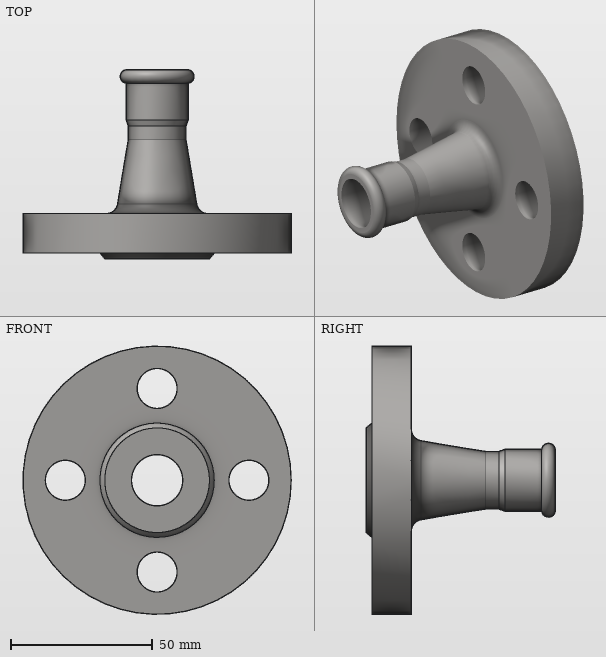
import cadquery as cq
import math

flange_radius = 47.5
flange_thickness = 14.1

face_height = 2.0
face_base_radius = 20.2
face_front_radius = 18.5

bore_radius = 9.0
bolt_hole_count = 4
bolt_hole_diameter = 14.1
bolt_circle_radius = 32.5

root_flare_length = 3.3
neck_base_radius = 14.1
neck_end_radius = 10.3
neck_length = 22.8

collar_length = 4.8
step_length = 2.2
socket_radius = 11.0
bead_radius = 13.1
bead_end_inset = 2.3
bead_width = 4.8
total_length = 67.0

flange_front = face_height
flange_back = flange_front + flange_thickness
neck_start = flange_back + root_flare_length
neck_end = neck_start + neck_length
collar_end = neck_end + collar_length
socket_start = collar_end + step_length
bead_start = total_length - bead_width
bead_middle = total_length - bead_width / 2

taper_angle = math.atan((neck_base_radius - neck_end_radius) / neck_length)
root_fillet_radius = root_flare_length / (1 - math.sin(taper_angle))
root_radius = neck_base_radius + root_fillet_radius * math.cos(taper_angle)
fillet_centre_station = flange_back + root_fillet_radius
fillet_middle_angle = (math.pi / 2 + taper_angle) / 2
fillet_middle = (
    root_radius - root_fillet_radius * math.cos(fillet_middle_angle),
    fillet_centre_station - root_fillet_radius * math.sin(fillet_middle_angle),
)


def make_body():
    """Revolve the half section (radius, station) about the Y axis."""
    bead_end_radius = bead_radius - bead_end_inset
    section = (
        cq.Workplane("XY")
        .moveTo(bore_radius, 0)
        .lineTo(face_front_radius, 0)
        .lineTo(face_base_radius, flange_front)
        .lineTo(flange_radius, flange_front)
        .lineTo(flange_radius, flange_back)
        .lineTo(root_radius, flange_back)
        .threePointArc(fillet_middle, (neck_base_radius, neck_start))
        .lineTo(neck_end_radius, neck_end)
        .lineTo(neck_end_radius, collar_end)
        .lineTo(socket_radius, socket_start)
        .lineTo(socket_radius, bead_start)
        .threePointArc((bead_radius, bead_middle), (bead_end_radius, total_length))
        .lineTo(bore_radius, total_length)
        .close()
    )
    return section.revolve(360, (0, 0, 0), (0, 1, 0))


def make_bolt_holes():
    """Cylinders through the flange on the X and Z axes."""
    return (
        cq.Workplane("XZ")
        .polarArray(bolt_circle_radius, 0, 360, bolt_hole_count)
        .circle(bolt_hole_diameter / 2)
        .extrude(-flange_back)
    )


result = make_body().cut(make_bolt_holes())